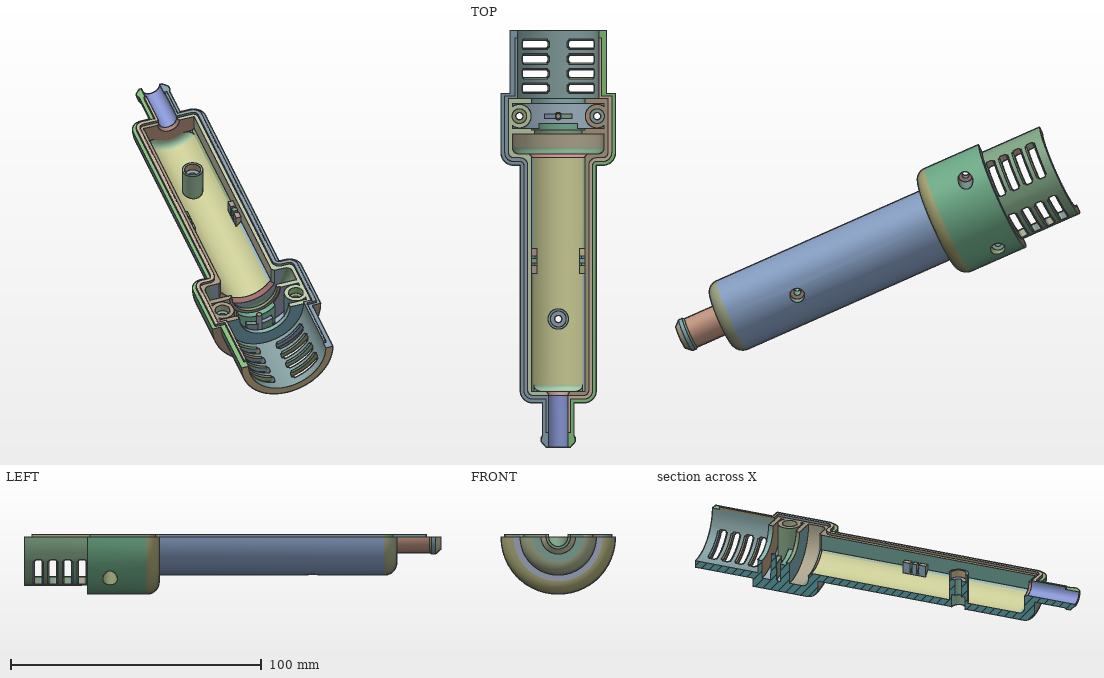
import cadquery as cq
import math


SLEEVE_RADIUS = 19.30
BODY_RADIUS = 22.86
TUBE_RADIUS = 15.24
NOZZLE_RADIUS = 6.35
BARB_RADIUS = 6.86
NOZZLE_TIP_RADIUS = 4.83

SLEEVE_MOUTH_Y = 0.0
BODY_TOP_Y = -25.15
BODY_END_Y = -53.85
TUBE_END_Y = -148.59
NOZZLE_TIP_Y = -166.24
BARB_START_Y = NOZZLE_TIP_Y + 4.6
BARB_CREST_Y = NOZZLE_TIP_Y + 3.8
BARB_LEAD_IN_Y = NOZZLE_TIP_Y + 2.2

WALL = 4.57
OUTER_FILLET = 5.08
CAVITY_FILLET = 2.54
SLEEVE_BORE = 16.26
NOZZLE_BORE = 3.81
MOUTH_DEPTH = 1.5
MOUTH_SIDE_FLARE = 1.0
NOZZLE_MOUTH_FLARE = 0.75
BODY_CAVITY_RADIUS = BODY_RADIUS - WALL
TUBE_CAVITY_HALF_WIDTH = TUBE_RADIUS - WALL
TUBE_FLOOR_WALL = 3.05
TUBE_FLOOR_RADIUS = TUBE_RADIUS - TUBE_FLOOR_WALL
TUBE_FLOOR_HALF_WIDTH = 9.75

LIP_HEIGHT = 1.02
LIP_STEP = WALL / 3
THIN_LIP = 1.02
LIP_END_MARGIN = 3.05
NOZZLE_LIP_END_Y = NOZZLE_TIP_Y + 5.94

RIB_THICKNESS = 2.03
RIB_TOP_Y = BODY_TOP_Y - 2 * THIN_LIP
RIB_GAP = 10.0
POCKET_START_Y = RIB_TOP_Y - RIB_THICKNESS
POCKET_END_Y = POCKET_START_Y - RIB_GAP
CAVITY_START_Y = POCKET_END_Y - RIB_THICKNESS
RIB_BORE = 10.67
RIDGE_BORE = 9.5
RIDGE_SETBACK = 0.5
SHELF_HALF_WIDTH = 7.75
SHELF_DEPTH = 2.03

SCREW_HOLE_DIAMETER = 2.8
SCREW_HEAD_DIAMETER = 5.84
BODY_BOSS_DIAMETER = 9.4
BODY_BOSS_X = 15.49
BODY_BOSS_Y = POCKET_START_Y - RIB_GAP / 2
RECESS_DEPTH = 3.05
BODY_SCREW_HEAD_Z = -7.62
TUBE_BOSS_DIAMETER = 8.13
TUBE_SOCKET_DIAMETER = 6.35
TUBE_BOSS_Y = -115.1
TUBE_SCREW_HEAD_Z = -10.0

PIN_BASE_DIAMETER = 3.0
PIN_TOP_DIAMETER = 2.0
PIN_TOP_Z = -7.1
WEB_HALF_WIDTH = 5.5
WEB_THICKNESS = 1.8
WEB_RADIUS = 11.43

CLIP_START_Y = -86.9
CLIP_LENGTH = 10.0
CLIP_DEPTH = 2.1
CLIP_TOP_Z = -4.0
CLIP_NOTCH_OFFSETS = (3.1, 5.9)
CLIP_NOTCH_WIDTH = 1.0
CLIP_NOTCH_FLOOR_Z = -8.0

VENT_COUNT = 4
VENT_PITCH = 5.84
FIRST_VENT_Y = -5.6
VENT_WIDTH = 3.0
VENT_FLARE = 0.6
VENT_CORNER = 0.75
VENT_LOW_ANGLE = 12.5
VENT_HIGH_ANGLE = 61.6

EXTRA = 1.0
REACH = 400.0


def revolved(points):
    """Revolve a closed (radius, y) outline fully about the Y axis."""
    return cq.Workplane("XY").polyline(points).close().revolve(360, (0, 0, 0), (0, 1, 0))


def tube_of(radius, y_start, y_end):
    """Cylinder on the Y axis between two stations, y_start above y_end."""
    return cq.Workplane("XZ", origin=(0, y_start, 0)).circle(radius).extrude(y_start - y_end)


def box_between(x_range, y_range, z_range):
    """Axis-aligned box given by its (low, high) range on each axis."""
    size = [high - low for low, high in (x_range, y_range, z_range)]
    low_corner = (x_range[0], y_range[0], z_range[0])
    return cq.Workplane("XY").box(*size, centered=False).translate(low_corner)


def pillar(x, y, diameter, z_low, z_high):
    """Vertical cylinder."""
    return cq.Workplane("XY", origin=(x, y, z_low)).circle(diameter / 2).extrude(z_high - z_low)


def lower_half(solid):
    """Part of a solid below the split plane."""
    return solid.intersect(box_between((-REACH, REACH), (-REACH, REACH), (-REACH, 0)))


def make_envelope():
    """Solid outer shape, full round."""
    sleeve = tube_of(SLEEVE_RADIUS, SLEEVE_MOUTH_Y, BODY_TOP_Y - EXTRA)
    body = tube_of(BODY_RADIUS, BODY_TOP_Y, BODY_END_Y).faces("<Y").edges().fillet(OUTER_FILLET)
    tube = tube_of(TUBE_RADIUS, BODY_END_Y + EXTRA, TUBE_END_Y).faces("<Y").edges().fillet(OUTER_FILLET)
    nozzle = revolved([
        (0, TUBE_END_Y + EXTRA),
        (NOZZLE_RADIUS, TUBE_END_Y + EXTRA),
        (NOZZLE_RADIUS, BARB_START_Y),
        (BARB_RADIUS, BARB_CREST_Y),
        (BARB_RADIUS, BARB_LEAD_IN_Y),
        (NOZZLE_TIP_RADIUS, NOZZLE_TIP_Y),
        (0, NOZZLE_TIP_Y),
    ])
    return body.union(sleeve).union(tube).union(nozzle)


def make_tube_cavity(mouth_y, floor_y):
    """Flat-sided trough with a bevelled step down to a round floor and a flared mouth."""
    floor = tube_of(TUBE_FLOOR_RADIUS, mouth_y + EXTRA, floor_y).faces("<Y").edges().fillet(CAVITY_FILLET)
    floor_width = (-TUBE_FLOOR_HALF_WIDTH, TUBE_FLOOR_HALF_WIDTH)
    floor = floor.intersect(box_between(floor_width, (-REACH, REACH), (-REACH, REACH)))
    bevel_low_z = -math.sqrt(TUBE_FLOOR_RADIUS**2 - TUBE_FLOOR_HALF_WIDTH**2)
    bevel_high_z = bevel_low_z + TUBE_CAVITY_HALF_WIDTH - TUBE_FLOOR_HALF_WIDTH
    sides = cq.Workplane("XZ", origin=(0, mouth_y + EXTRA, 0)).polyline([
        (-TUBE_CAVITY_HALF_WIDTH, 0),
        (-TUBE_CAVITY_HALF_WIDTH, bevel_high_z),
        (-TUBE_FLOOR_HALF_WIDTH, bevel_low_z),
        (TUBE_FLOOR_HALF_WIDTH, bevel_low_z),
        (TUBE_CAVITY_HALF_WIDTH, bevel_high_z),
        (TUBE_CAVITY_HALF_WIDTH, 0),
    ]).close().extrude(mouth_y + EXTRA - floor_y)
    flare = revolved([
        (0, mouth_y),
        (TUBE_FLOOR_RADIUS + MOUTH_DEPTH, mouth_y),
        (TUBE_FLOOR_RADIUS, mouth_y - MOUTH_DEPTH),
        (0, mouth_y - MOUTH_DEPTH),
    ])
    flare_plan = cq.Workplane("XY", origin=(0, 0, -BODY_RADIUS)).polyline([
        (-TUBE_CAVITY_HALF_WIDTH - MOUTH_SIDE_FLARE, mouth_y),
        (TUBE_CAVITY_HALF_WIDTH + MOUTH_SIDE_FLARE, mouth_y),
        (TUBE_CAVITY_HALF_WIDTH, mouth_y - MOUTH_SIDE_FLARE),
        (TUBE_CAVITY_HALF_WIDTH, mouth_y - MOUTH_DEPTH),
        (-TUBE_CAVITY_HALF_WIDTH, mouth_y - MOUTH_DEPTH),
        (-TUBE_CAVITY_HALF_WIDTH, mouth_y - MOUTH_SIDE_FLARE),
    ]).close().extrude(BODY_RADIUS)
    return floor.union(sides).union(flare.intersect(flare_plan))


def make_cavities():
    """Everything hollow inside the shell, leaving the two ribs and the shelf standing."""
    body_floor_y = BODY_END_Y + WALL
    tube_floor_y = TUBE_END_Y + WALL
    sleeve = tube_of(SLEEVE_BORE, SLEEVE_MOUTH_Y + EXTRA, RIB_TOP_Y)
    upper_rib = tube_of(RIB_BORE, RIB_TOP_Y + EXTRA, POCKET_START_Y - EXTRA)
    pocket = tube_of(BODY_CAVITY_RADIUS, POCKET_START_Y, POCKET_END_Y)
    shelf = box_between(
        (-SHELF_HALF_WIDTH, SHELF_HALF_WIDTH), (POCKET_END_Y, POCKET_END_Y + SHELF_DEPTH), (-BODY_RADIUS, 0)
    )
    shelf_bore = tube_of(RIB_BORE, POCKET_END_Y + SHELF_DEPTH + EXTRA, POCKET_END_Y - RIDGE_SETBACK)
    ridge_bore = tube_of(RIDGE_BORE, POCKET_END_Y, CAVITY_START_Y - EXTRA)
    chamber = tube_of(BODY_CAVITY_RADIUS, CAVITY_START_Y, body_floor_y)
    chamber = chamber.faces("<Y").edges().fillet(CAVITY_FILLET)
    tube = make_tube_cavity(body_floor_y, tube_floor_y)
    nozzle = revolved([
        (0, tube_floor_y + EXTRA),
        (NOZZLE_BORE + NOZZLE_MOUTH_FLARE, tube_floor_y + EXTRA),
        (NOZZLE_BORE + NOZZLE_MOUTH_FLARE, tube_floor_y),
        (NOZZLE_BORE, tube_floor_y - MOUTH_DEPTH),
        (NOZZLE_BORE, NOZZLE_TIP_Y - EXTRA),
        (0, NOZZLE_TIP_Y - EXTRA),
    ])
    cavities = pocket.cut(shelf)
    for cavity in (sleeve, upper_rib, shelf_bore, ridge_bore, chamber, tube, nozzle):
        cavities = cavities.union(cavity)
    return cavities


def lip_plate(inset, top_inset, sleeve_half, nozzle_half):
    """Plate following the parting outline, inset from the body and tube outer walls."""
    body_half = BODY_RADIUS - inset
    tube_half = TUBE_RADIUS - inset
    body_top = BODY_TOP_Y - top_inset
    body_end = BODY_END_Y + inset
    tube_end = TUBE_END_Y + inset
    corner = OUTER_FILLET - inset
    body = box_between((-body_half, body_half), (body_end, body_top), (0, LIP_HEIGHT))
    body = body.edges("|Z and <Y").fillet(corner)
    tube = box_between((-tube_half, tube_half), (tube_end, body_end + EXTRA), (0, LIP_HEIGHT))
    tube = tube.edges("|Z and <Y").fillet(corner)
    sleeve = box_between(
        (-sleeve_half, sleeve_half), (body_top - EXTRA, SLEEVE_MOUTH_Y - LIP_END_MARGIN), (0, LIP_HEIGHT)
    )
    nozzle = box_between((-nozzle_half, nozzle_half), (NOZZLE_LIP_END_Y, tube_end + EXTRA), (0, LIP_HEIGHT))
    plate = body.union(tube).union(sleeve).union(nozzle)
    step = cq.selectors.BoxSelector(
        (-tube_half - EXTRA / 2, body_end - EXTRA / 2, -EXTRA),
        (tube_half + EXTRA / 2, body_end + EXTRA / 2, LIP_HEIGHT + EXTRA),
    )
    return plate.edges("|Z").edges(step).fillet(inset)


def make_lip():
    """Raised ridge on the parting face that locates the other half."""
    outer = lip_plate(LIP_STEP, THIN_LIP, SLEEVE_BORE + THIN_LIP, NOZZLE_BORE + THIN_LIP)
    inner = lip_plate(2 * LIP_STEP, 2 * THIN_LIP, SLEEVE_BORE, NOZZLE_BORE)
    return outer.cut(inner)


def make_clip(side):
    """Notched block on one side wall of the tube; side is -1 or 1."""
    inner_x = side * (TUBE_CAVITY_HALF_WIDTH - CLIP_DEPTH)
    wall_x = side * TUBE_CAVITY_HALF_WIDTH
    root_x = wall_x + side * EXTRA
    clip_y = (CLIP_START_Y - CLIP_LENGTH, CLIP_START_Y)
    clip = box_between(sorted((inner_x, root_x)), clip_y, (-TUBE_RADIUS, CLIP_TOP_Z))
    for offset in CLIP_NOTCH_OFFSETS:
        notch_y = (CLIP_START_Y - offset - CLIP_NOTCH_WIDTH, CLIP_START_Y - offset)
        clip = clip.cut(box_between(sorted((inner_x, wall_x)), notch_y, (CLIP_NOTCH_FLOOR_Z, CLIP_TOP_Z)))
    return clip


def make_pin():
    """Tapered locating pin in the middle of the pocket, rooted in the shell wall."""
    pin = revolved([
        (0, -BODY_RADIUS),
        (PIN_BASE_DIAMETER / 2, -BODY_RADIUS),
        (PIN_BASE_DIAMETER / 2, -BODY_CAVITY_RADIUS),
        (PIN_TOP_DIAMETER / 2, PIN_TOP_Z),
        (0, PIN_TOP_Z),
    ])
    return pin.rotate((0, 0, 0), (1, 0, 0), 90).translate((0, BODY_BOSS_Y, 0))


def make_web():
    """Thin cross web through the pin, hollowed to an arc about the axis."""
    web = box_between(
        (-WEB_HALF_WIDTH, WEB_HALF_WIDTH),
        (BODY_BOSS_Y - WEB_THICKNESS / 2, BODY_BOSS_Y + WEB_THICKNESS / 2),
        (-BODY_RADIUS, 0),
    )
    return web.cut(tube_of(WEB_RADIUS, POCKET_START_Y, POCKET_END_Y))


def make_internals():
    """Bosses, pin, web and clips; they run past the shell and are trimmed to it later."""
    parts = pillar(0, TUBE_BOSS_Y, TUBE_BOSS_DIAMETER, -TUBE_RADIUS, 0)
    for side in (-1, 1):
        parts = parts.union(pillar(side * BODY_BOSS_X, BODY_BOSS_Y, BODY_BOSS_DIAMETER, -BODY_RADIUS, 0))
        parts = parts.union(make_clip(side))
    return parts.union(make_pin()).union(make_web())


def make_screw_cuts():
    """Through holes, top recesses and screw-head bores of the three bosses."""
    bosses = [
        (-BODY_BOSS_X, BODY_BOSS_Y, SCREW_HEAD_DIAMETER, BODY_SCREW_HEAD_Z),
        (BODY_BOSS_X, BODY_BOSS_Y, SCREW_HEAD_DIAMETER, BODY_SCREW_HEAD_Z),
        (0, TUBE_BOSS_Y, TUBE_SOCKET_DIAMETER, TUBE_SCREW_HEAD_Z),
    ]
    bottom_z = -BODY_RADIUS - EXTRA
    cuts = cq.Workplane("XY")
    for x, y, recess_diameter, head_z in bosses:
        cuts = cuts.add(pillar(x, y, SCREW_HOLE_DIAMETER, bottom_z, 0))
        cuts = cuts.add(pillar(x, y, recess_diameter, -RECESS_DEPTH, 0))
        cuts = cuts.add(pillar(x, y, SCREW_HEAD_DIAMETER, bottom_z, head_z))
    return cuts.combine()


def swept_about_axis(points, start_angle, end_angle):
    """Sweep a (y, radius) outline about the Y axis; 0 degrees is straight down, 90 is -X."""
    sector = cq.Workplane("YZ").polyline([(y, -radius) for y, radius in points]).close()
    sector = sector.revolve(end_angle - start_angle, (0, 0, 0), (1, 0, 0))
    return sector.rotate((0, 0, 0), (0, 1, 0), start_angle)


def flare_outline(face_radius, throat_radius):
    """Trapezoid widening from the vent throat to one face of the sleeve wall."""
    throat = VENT_WIDTH / 2
    mouth = throat + VENT_FLARE
    return [(-mouth, face_radius), (mouth, face_radius), (throat, throat_radius), (-throat, throat_radius)]


def make_vent():
    """Slot on the -X side with rounded corners and long edges flared at both faces."""
    half = VENT_WIDTH / 2
    inside = SLEEVE_BORE - EXTRA
    outside = SLEEVE_RADIUS + EXTRA
    slot = [(-half, inside), (half, inside), (half, outside), (-half, outside)]
    vent = swept_about_axis(slot, VENT_LOW_ANGLE, VENT_HIGH_ANGLE)
    vent = vent.edges("%LINE").edges("not |Y").fillet(VENT_CORNER)
    corner_angle = math.degrees(VENT_CORNER / SLEEVE_BORE)
    for face_radius, inward in ((SLEEVE_BORE, 1), (SLEEVE_RADIUS, -1)):
        outline = flare_outline(face_radius, face_radius + inward * VENT_FLARE)
        flare = swept_about_axis(outline, VENT_LOW_ANGLE + corner_angle, VENT_HIGH_ANGLE - corner_angle)
        vent = vent.union(flare)
    return vent


def make_vents():
    """Row of vents along the sleeve, repeated on the +X side."""
    vent = make_vent()
    vents = cq.Workplane("XY")
    for index in range(VENT_COUNT):
        placed = vent.translate((0, FIRST_VENT_Y - index * VENT_PITCH, 0))
        vents = vents.add(placed).add(placed.mirror("YZ"))
    return vents.combine()


envelope = make_envelope()
shell = envelope.cut(make_cavities())
shell = shell.union(make_internals().intersect(envelope))
shell = lower_half(shell).cut(make_screw_cuts()).cut(make_vents())
result = shell.union(make_lip())